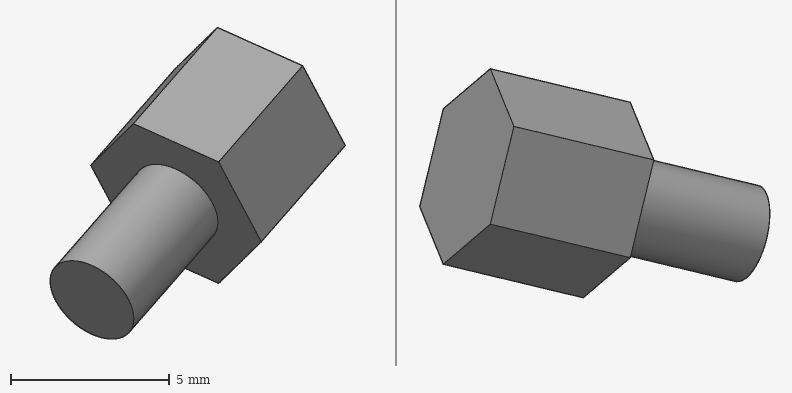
import cadquery as cq
import math

across_flats = 5.5
body_length = 5.0
stud_length = 5.0
stud_diameter = 3.12

across_corners = across_flats / math.cos(math.pi / 6)

body = cq.Workplane("XZ").polygon(6, across_corners).extrude(-body_length)

stud = cq.Workplane("XZ").circle(stud_diameter / 2).extrude(stud_length)

result = body.union(stud)